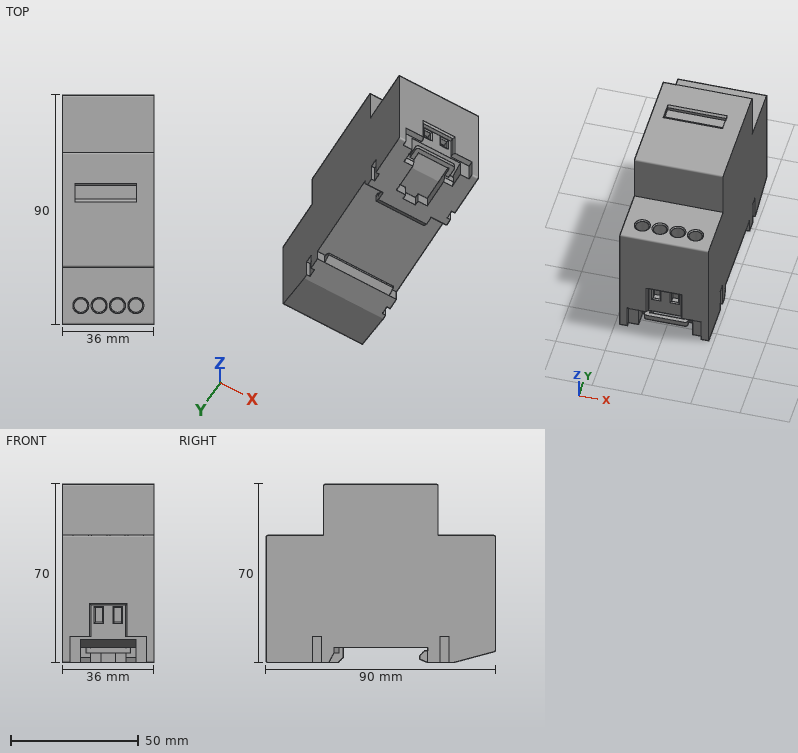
import cadquery as cq
import math

WIDTH = 36.0
LENGTH = 90.0
HEIGHT = 70.0
SHOULDER_Z = 50.0
HEAD_LENGTH = 45.0
EDGE_RADIUS = 0.8
SLOPE_START_Y = 28.6
SLOPE_ANGLE = 15.0

RAIL_TOP_Z = 5.95
RAIL_HALF = 18.4
RAIL_LIP_Z = 3.85
RAIL_LIP_SPREAD = 2.0

HOOK_WIDTH = 29.4
HOOK_TOP_Z = 4.75
HOOK_FLAT_END_Y = 17.2
HOOK_TIP_Y = 15.2
HOOK_TIP_LOW_Z = 1.35
HOOK_TIP_HIGH_Z = 2.65

GROOVE_Y = 25.0
GROOVE_WIDTH = 3.4
GROOVE_HEIGHT = 10.2
GROOVE_DEPTH = 1.5

RECESS_WIDTH = 30.0
RECESS_HEIGHT = 10.2
RECESS_DEPTH = 2.2
TOWER_HALF_WIDTH = 7.35
TOWER_TOP_Z = 23.2
TOWER_BEVEL = 0.65
TOWER_BEVEL_DEPTH = 0.8

WINDOW_X = 3.7
WINDOW_WIDTH = 3.8
WINDOW_LOW_Z = 15.4
WINDOW_HIGH_Z = 22.1
WINDOW_BEVEL = 0.5
WINDOW_BEVEL_DEPTH = 0.5
WINDOW_DEPTH = 2.5

BAY_WIDTH = 21.9
BAY_FRONT_Z = 9.0
BAY_CEILING_RUN = 10.0
SLIDE_TOP_Z = RAIL_TOP_Z
SLIDE_FRONT_Y = -37.5
SLIDE_REAR_Y = -14.7
SLIDE_CHAMFER = 2.05
SLIDE_FRONT_CHAMFER_RUN = 0.9
SLIDE_OPENING_WIDTH = 14.0
SLIDE_OPENING_REAR_Y = -24.0
SLIDE_POCKET_WIDTH = 5.6
SLIDE_POCKET_DEPTH = 2.0
NOTCH_LENGTH = 2.1
NOTCH_DEPTH = 2.8
HANDLE_WIDTH = 17.6
HANDLE_FRONT_Y = -42.75
HANDLE_LOW_Z = 3.8
HANDLE_BAR_DEPTH = 1.8
HANDLE_RADIUS = 1.1

HOLE_COUNT = 4
HOLE_PITCH = 7.2
HOLE_Y = -37.5
HOLE_DIAMETER = 5.3
HOLE_RIM_DIAMETER = 6.3
HOLE_RIM_ANGLE = 45.0
HOLE_DEPTH = 10.0

DISPLAY_LEFT_X = -13.0
DISPLAY_RIGHT_X = 11.0
DISPLAY_REAR_Y = 10.4
DISPLAY_FRONT_Y = 3.05
DISPLAY_REAR_SLOPE = 0.8
DISPLAY_FRONT_SLOPE = 1.3
DISPLAY_SLOPE_DEPTH = 0.8
DISPLAY_DEPTH = 2.0

HALF_LENGTH = LENGTH / 2
FRONT_Y = -HALF_LENGTH
RECESS_BACK_Y = FRONT_Y + RECESS_DEPTH


def box(x_range, y_range, z_range):
    """Axis-aligned box given by its limits along X, Y and Z."""
    sizes = [high - low for low, high in (x_range, y_range, z_range)]
    return cq.Workplane("XY").box(*sizes, centered=False).translate(
        (x_range[0], y_range[0], z_range[0])
    )


def centered_range(size, middle=0.0):
    return (middle - size / 2, middle + size / 2)


def side_prism(points, width):
    """Outline of (Y, Z) points extruded along X, symmetric about X = 0."""
    return cq.Workplane("YZ").polyline(points).close().extrude(width / 2, both=True)


def beveled_opening(x_range, z_range, front_y, bevel, bevel_depth, depth):
    """Rectangular pocket entering along +Y, narrowing over its first stretch."""
    width = x_range[1] - x_range[0]
    height = z_range[1] - z_range[0]
    middle = (sum(x_range) / 2, front_y, sum(z_range) / 2)
    mouth = cq.Workplane(cq.Plane(origin=middle, xDir=(-1, 0, 0), normal=(0, 1, 0)))
    inner_width = width - 2 * bevel
    inner_height = height - 2 * bevel
    funnel = (
        mouth.rect(width, height)
        .workplane(offset=bevel_depth)
        .rect(inner_width, inner_height)
        .loft(ruled=True)
    )
    return funnel.union(mouth.rect(inner_width, inner_height).extrude(depth))


def housing():
    slope_rise = (HALF_LENGTH - SLOPE_START_Y) * math.tan(math.radians(SLOPE_ANGLE))
    head_half = HEAD_LENGTH / 2
    outline = [
        (FRONT_Y, 0),
        (SLOPE_START_Y, 0),
        (HALF_LENGTH, slope_rise),
        (HALF_LENGTH, SHOULDER_Z),
        (head_half, SHOULDER_Z),
        (head_half, HEIGHT),
        (-head_half, HEIGHT),
        (-head_half, SHOULDER_Z),
        (FRONT_Y, SHOULDER_Z),
    ]
    rounded_corners = [
        (FRONT_Y, 0),
        (HALF_LENGTH, slope_rise),
        (HALF_LENGTH, SHOULDER_Z),
        (head_half, HEIGHT),
        (-head_half, HEIGHT),
        (FRONT_Y, SHOULDER_Z),
    ]
    body = side_prism(outline, WIDTH)
    for y, z in rounded_corners:
        corner = cq.selectors.NearestToPointSelector((0, y, z))
        body = body.edges("|X").edges(corner).fillet(EDGE_RADIUS)
    return body


def rail_channel():
    outline = [
        (RAIL_HALF, 0),
        (RAIL_HALF, RAIL_TOP_Z),
        (-RAIL_HALF, RAIL_TOP_Z),
        (-RAIL_HALF, RAIL_LIP_Z),
        (-RAIL_HALF - RAIL_LIP_SPREAD, 0),
    ]
    return side_prism(outline, WIDTH)


def fixed_hook():
    outline = [
        (RAIL_HALF, 0),
        (RAIL_HALF, HOOK_TOP_Z),
        (HOOK_FLAT_END_Y, HOOK_TOP_Z),
        (HOOK_TIP_Y, HOOK_TIP_HIGH_Z),
        (HOOK_TIP_Y, HOOK_TIP_LOW_Z),
    ]
    return side_prism(outline, HOOK_WIDTH)


def side_grooves():
    grooves = cq.Workplane("XY")
    for side in (-1, 1):
        for end in (-1, 1):
            x_range = centered_range(2 * GROOVE_DEPTH, side * WIDTH / 2)
            y_range = centered_range(GROOVE_WIDTH, end * GROOVE_Y)
            grooves = grooves.add(box(x_range, y_range, (0, GROOVE_HEIGHT)))
    return grooves.combine()


def front_recess():
    lower = box(centered_range(RECESS_WIDTH), (FRONT_Y, RECESS_BACK_Y), (0, RECESS_HEIGHT))
    tower = beveled_opening(
        (-TOWER_HALF_WIDTH, TOWER_HALF_WIDTH),
        (0, TOWER_TOP_Z),
        FRONT_Y,
        TOWER_BEVEL,
        TOWER_BEVEL_DEPTH,
        RECESS_DEPTH,
    )
    recess = lower.union(tower)
    for middle_x in (-WINDOW_X, WINDOW_X):
        window = beveled_opening(
            centered_range(WINDOW_WIDTH, middle_x),
            (WINDOW_LOW_Z, WINDOW_HIGH_Z),
            RECESS_BACK_Y,
            WINDOW_BEVEL,
            WINDOW_BEVEL_DEPTH,
            WINDOW_DEPTH,
        )
        recess = recess.union(window)
    return recess


def slide_bay():
    """Room for the slide; its ceiling falls from the recess to the top of the slide."""
    outline = [
        (RECESS_BACK_Y, 0),
        (RECESS_BACK_Y, BAY_FRONT_Z),
        (RECESS_BACK_Y + BAY_CEILING_RUN, SLIDE_TOP_Z),
        (-RAIL_HALF, SLIDE_TOP_Z),
        (-RAIL_HALF, 0),
    ]
    return side_prism(outline, BAY_WIDTH)


def locking_slide():
    outline = [
        (SLIDE_FRONT_Y, SLIDE_CHAMFER),
        (SLIDE_FRONT_Y, SLIDE_TOP_Z),
        (SLIDE_REAR_Y, SLIDE_TOP_Z),
        (SLIDE_REAR_Y, SLIDE_CHAMFER),
        (SLIDE_REAR_Y - SLIDE_CHAMFER, 0),
        (SLIDE_FRONT_Y + SLIDE_FRONT_CHAMFER_RUN, 0),
    ]
    slide = side_prism(outline, BAY_WIDTH)
    opening = box(
        centered_range(SLIDE_OPENING_WIDTH),
        (SLIDE_FRONT_Y, SLIDE_OPENING_REAR_Y),
        (0, SLIDE_TOP_Z),
    )
    pocket = box(
        centered_range(SLIDE_POCKET_WIDTH),
        (SLIDE_OPENING_REAR_Y, SLIDE_OPENING_REAR_Y + SLIDE_POCKET_DEPTH),
        (0, SLIDE_TOP_Z),
    )
    slide = slide.cut(opening).cut(pocket)
    side_x = BAY_WIDTH / 2
    for side in (-1, 1):
        notch_points = [
            (side * side_x, -RAIL_HALF),
            (side * side_x, -RAIL_HALF + NOTCH_LENGTH),
            (side * (side_x - NOTCH_DEPTH), -RAIL_HALF + NOTCH_LENGTH),
        ]
        notch = (
            cq.Workplane("XY", origin=(0, 0, RAIL_LIP_Z))
            .polyline(notch_points)
            .close()
            .extrude(SLIDE_TOP_Z - RAIL_LIP_Z)
        )
        slide = slide.cut(notch)
    return slide.union(slide_handle())


def slide_handle():
    """U-shaped grip: a bar across the front with one arm at each end."""
    z_range = (HANDLE_LOW_Z, SLIDE_TOP_Z)
    grip = box(centered_range(HANDLE_WIDTH), (HANDLE_FRONT_Y, SLIDE_FRONT_Y), z_range)
    grip = grip.edges("|Z and <Y").fillet(HANDLE_RADIUS)
    hole = box(
        centered_range(SLIDE_OPENING_WIDTH),
        (HANDLE_FRONT_Y + HANDLE_BAR_DEPTH, SLIDE_FRONT_Y),
        z_range,
    )
    return grip.cut(hole)


def terminal_holes():
    middle = (HOLE_COUNT - 1) / 2
    centers = [((i - middle) * HOLE_PITCH, HOLE_Y) for i in range(HOLE_COUNT)]
    top = cq.Workplane("XY", origin=(0, 0, SHOULDER_Z)).pushPoints(centers)
    bores = top.circle(HOLE_DIAMETER / 2).extrude(-HOLE_DEPTH)
    rim_step = (HOLE_RIM_DIAMETER - HOLE_DIAMETER) / 2
    rims = top.circle(HOLE_RIM_DIAMETER / 2).extrude(-rim_step, taper=HOLE_RIM_ANGLE)
    return bores.union(rims)


def display_pocket():
    slope_end_z = HEIGHT - DISPLAY_SLOPE_DEPTH
    floor_z = HEIGHT - DISPLAY_DEPTH
    floor_front_y = DISPLAY_FRONT_Y + DISPLAY_FRONT_SLOPE
    floor_rear_y = DISPLAY_REAR_Y - DISPLAY_REAR_SLOPE
    outline = [
        (DISPLAY_FRONT_Y, HEIGHT),
        (floor_front_y, slope_end_z),
        (floor_front_y, floor_z),
        (floor_rear_y, floor_z),
        (floor_rear_y, slope_end_z),
        (DISPLAY_REAR_Y, HEIGHT),
    ]
    length = DISPLAY_RIGHT_X - DISPLAY_LEFT_X
    pocket = cq.Workplane("YZ").polyline(outline).close().extrude(length)
    return pocket.translate((DISPLAY_LEFT_X, 0, 0))


result = (
    housing()
    .cut(rail_channel())
    .cut(side_grooves())
    .cut(front_recess())
    .cut(slide_bay())
    .cut(terminal_holes())
    .cut(display_pocket())
    .union(fixed_hook())
    .union(locking_slide())
)